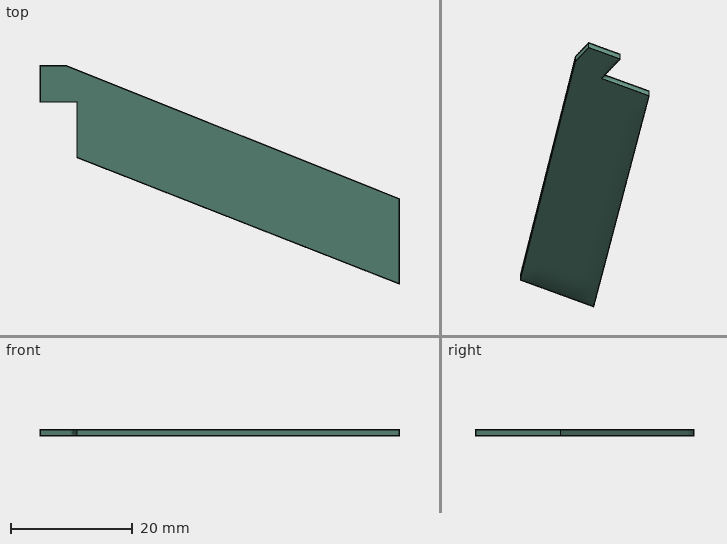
import cadquery as cq

length = 59.05
width = 35.9
thickness = 1.0

tab_size = 6.0
tab_top_length = 4.25

right_edge_height = 14.0
left_corner_drop = 15.1

outline = [
    (0, width),
    (tab_top_length, width),
    (length, right_edge_height),
    (length, 0),
    (tab_size, width - left_corner_drop),
    (tab_size, width - tab_size),
    (0, width - tab_size),
]

result = cq.Workplane("XY").polyline(outline).close().extrude(thickness)